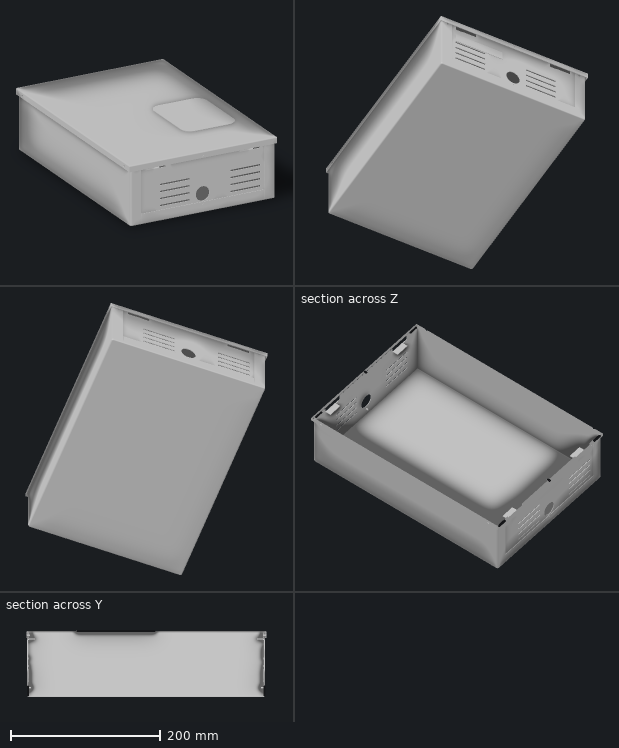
import cadquery as cq
import math

OVERALL_X = 321.5
OVERALL_Y = 224.0
OVERALL_Z = 90.0
SHEET = 1.0

LID_HEIGHT = 9.5
LID_BEND = 2.3
LID_HOLE_DIAMETER = 3.2
LID_HOLE_X = 144.0
FASTENER_Z = 82.5

PLATE_X = 105.0
PLATE_Y = 80.7
PLATE_THICKNESS = 1.3
PLATE_CENTER_X = 41.2
PLATE_CENTER_Y = 50.0
PLATE_CORNER = 15.0

BASE_LENGTH = 318.0
BASE_WIDTH = 220.3
BASE_OFFSET_X = 0.7
WALL_BEND = 3.0
FLOOR_BEND = 2.0
TAB_EDGE_Y = 94.0
FLANGE_TOP = 15.5
SEAM = 0.3
TAB_HOLE_DIAMETER = 3.0
TAB_HOLE_Y = 100.5
TAB_HOLE_Z = 79.8

CABLE_HOLE_DIAMETER = 20.5
CABLE_HOLE_Z = 27.0
VENT_LENGTH = 45.5
VENT_HEIGHT = 2.3
VENT_CENTERS_Y = (65.0, -42.0)
VENT_FIRST_Z = 21.5
VENT_SPAN = 30.2
VENT_ROWS = 4
NOTCH_CENTER_Y = 71.5
NOTCH_WIDTH = 31.0
NOTCH_BOTTOM = 76.2
TONGUE_WIDTH = 20.5
TONGUE_REACH = 9.5
TONGUE_BEND = 2.0

LABEL_Y = 70.8
LABEL_Z = 13.0
LABEL_CENTER_Y = 52.0
LABEL_CENTER_Z = 60.0
LABEL_THICKNESS = 0.5

HEAD_DIAMETER = 4.0
SHANK_DIAMETER = 2.5
SOCKET_DIAMETER = 1.5
SOCKET_DEPTH = 0.5
SCREW_LENGTH = 5.0
LOWER_SCREW_Z = 12.5

LID_TOP = OVERALL_Z - PLATE_THICKNESS
LID_BOTTOM = LID_TOP - LID_HEIGHT
LID_UNDERSIDE = LID_TOP - SHEET
LID_END_X = OVERALL_X / 2
BASE_END_X = BASE_LENGTH / 2
BASE_SIDE_Y = BASE_WIDTH / 2
WALL_TOP = LID_UNDERSIDE - (LID_BEND - SHEET)
PANEL_OUTER_X = BASE_END_X - SHEET
ENDS = (-1, 1)


def block(x0, x1, y0, y1, z0, z1):
    """Box between two opposite corners."""
    return cq.Workplane("XY").box(x1 - x0, y1 - y0, z1 - z0, centered=False).translate((x0, y0, z0))


def rod_x(diameter, y, z, x0, x1):
    """Cylinder along X from x0 to x1."""
    return cq.Workplane("YZ", origin=(x0, y, z)).circle(diameter / 2).extrude(x1 - x0)


def make_lid():
    half_y = OVERALL_Y / 2
    lid = block(-LID_END_X, LID_END_X, -half_y, half_y, LID_BOTTOM, LID_TOP)
    lid = lid.faces(">Z").edges().fillet(LID_BEND)
    inner_x = LID_END_X - SHEET
    inner_y = half_y - SHEET
    cavity = block(-inner_x, inner_x, -inner_y, inner_y, LID_BOTTOM, LID_UNDERSIDE)
    lid = lid.cut(cavity.faces(">Z").edges().fillet(LID_BEND - SHEET))
    skirt_holes = (
        cq.Workplane("XZ", origin=(BASE_OFFSET_X, half_y, FASTENER_Z))
        .pushPoints([(-LID_HOLE_X, 0), (LID_HOLE_X, 0)])
        .circle(LID_HOLE_DIAMETER / 2)
        .extrude(OVERALL_Y)
    )
    return lid.cut(skirt_holes)


def make_plate():
    return (
        cq.Workplane("XY", origin=(PLATE_CENTER_X, PLATE_CENTER_Y, LID_TOP))
        .rect(PLATE_X, PLATE_Y)
        .extrude(PLATE_THICKNESS)
        .edges("|Z")
        .fillet(PLATE_CORNER)
    )


def bent_block(inset):
    """Base envelope shrunk by `inset`, with its bend radii shrunk to match."""
    x = BASE_END_X - inset
    y = BASE_SIDE_Y - inset
    body = block(-x, x, -y, y, inset, WALL_TOP)
    body = body.edges("|Z").fillet(WALL_BEND - inset)
    return body.faces("<Z").edges().fillet(FLOOR_BEND - inset)


def make_base():
    base = bent_block(0).cut(bent_block(SHEET))
    base = base.cut(block(-BASE_END_X, BASE_END_X, -TAB_EDGE_Y, TAB_EDGE_Y, FLANGE_TOP, WALL_TOP))
    for end in ENDS:
        x0, x1 = sorted((end * BASE_END_X, end * (BASE_END_X - SHEET)))
        for side in (-1, 1):
            y0, y1 = sorted((side * TAB_EDGE_Y, side * (TAB_EDGE_Y - SEAM)))
            base = base.cut(block(x0, x1, y0, y1, 0, FLANGE_TOP))
            base = base.cut(rod_x(TAB_HOLE_DIAMETER, side * TAB_HOLE_Y, TAB_HOLE_Z, x0, x1))
    return base


def make_tongue(end, y0):
    """Strip that rises to the notch bottom, then bends inward along X."""
    top = NOTCH_BOTTOM + TONGUE_BEND
    outer = PANEL_OUTER_X
    inner_bend = TONGUE_BEND - SHEET
    diagonal = math.cos(math.pi / 4)
    bend_x = outer - TONGUE_BEND
    tongue = (
        cq.Workplane("XZ", origin=(0, y0 + TONGUE_WIDTH, 0))
        .moveTo(outer, NOTCH_BOTTOM)
        .threePointArc(
            (bend_x + TONGUE_BEND * diagonal, NOTCH_BOTTOM + TONGUE_BEND * diagonal),
            (bend_x, top),
        )
        .lineTo(outer - TONGUE_REACH, top)
        .lineTo(outer - TONGUE_REACH, top - SHEET)
        .lineTo(bend_x, top - SHEET)
        .threePointArc(
            (bend_x + inner_bend * diagonal, NOTCH_BOTTOM + inner_bend * diagonal),
            (outer - SHEET, NOTCH_BOTTOM),
        )
        .close()
        .extrude(TONGUE_WIDTH)
    )
    return tongue if end > 0 else tongue.mirror("YZ")


def make_end_panel(end):
    x0, x1 = sorted((end * PANEL_OUTER_X, end * (PANEL_OUTER_X - SHEET)))
    half_y = BASE_SIDE_Y - WALL_BEND
    panel = block(x0, x1, -half_y, half_y, FLOOR_BEND, WALL_TOP)
    panel = panel.cut(rod_x(CABLE_HOLE_DIAMETER, 0, CABLE_HOLE_Z, x0, x1))
    vent_pitch = VENT_SPAN / (VENT_ROWS - 1)
    vent_points = [
        (y, VENT_FIRST_Z + row * vent_pitch) for y in VENT_CENTERS_Y for row in range(VENT_ROWS)
    ]
    vents = (
        cq.Workplane("YZ", origin=(x0, 0, 0))
        .pushPoints(vent_points)
        .rect(VENT_LENGTH, VENT_HEIGHT)
        .extrude(SHEET)
    )
    panel = panel.cut(vents)
    for side in (-1, 1):
        y0 = side * NOTCH_CENTER_Y - NOTCH_WIDTH / 2
        panel = panel.cut(block(x0, x1, y0, y0 + NOTCH_WIDTH, NOTCH_BOTTOM, WALL_TOP))
        panel = panel.union(make_tongue(end, y0))
    return panel


def make_label():
    return (
        cq.Workplane("YZ", origin=(-PANEL_OUTER_X, LABEL_CENTER_Y, LABEL_CENTER_Z))
        .rect(LABEL_Y, LABEL_Z)
        .extrude(-LABEL_THICKNESS)
    )


def screw_blank(end, head_x, z):
    """Socketless screw along X, its flat countersunk head at head_x and its tip pointing inward."""
    head_radius = HEAD_DIAMETER / 2
    shank_radius = SHANK_DIAMETER / 2
    profile = [
        (0, 0),
        (0, head_radius),
        (-end * SHEET, shank_radius),
        (-end * SCREW_LENGTH, shank_radius),
        (-end * SCREW_LENGTH, 0),
    ]
    blank = cq.Workplane("XY").polyline(profile).close().revolve(360, (0, 0, 0), (1, 0, 0))
    return blank.translate((head_x, 0, z))


def make_screw(end, head_x, z):
    x0, x1 = sorted((head_x, head_x - end * SOCKET_DEPTH))
    return screw_blank(end, head_x, z).cut(rod_x(SOCKET_DIAMETER, 0, z, x0, x1))


base_place = (BASE_OFFSET_X, 0, 0)
lid = make_lid()
plate = make_plate()
base = make_base().translate(base_place)
label = make_label().translate(base_place)
end_panels = []
screws = []
for end in ENDS:
    panel = make_end_panel(end).translate(base_place)
    screw_places = (
        (end * LID_END_X, FASTENER_Z),
        (BASE_OFFSET_X + end * BASE_END_X, LOWER_SCREW_Z),
    )
    for head_x, z in screw_places:
        hole = screw_blank(end, head_x, z)
        lid = lid.cut(hole)
        base = base.cut(hole)
        panel = panel.cut(hole)
        screws.append(make_screw(end, head_x, z).val())
    end_panels.append(panel.val())

result = cq.Compound.makeCompound([lid.val(), plate.val(), base.val(), label.val(), *end_panels, *screws])